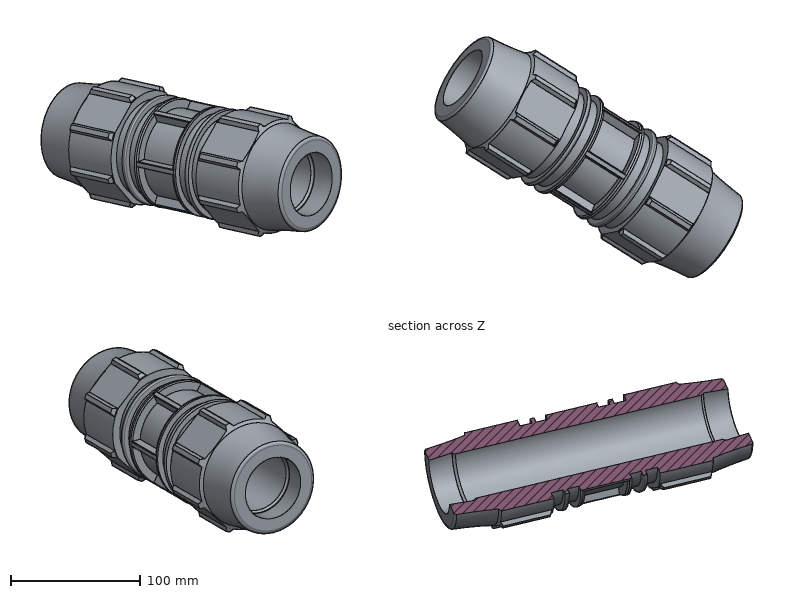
import cadquery as cq
import math

half_length = 122.0
bore_radius = 50.0 / 2
tube_radius = 76.9 / 2

socket_depth = 19.5
socket_root_radius = 26.8
socket_step = 0.5
socket_chamfer_length = 2.2

nose_face_radius = 35.0
lip_round_radius = 3.2
lip_round_angle = math.radians(60)
nose_middle = (105.5, 39.3)
nose_root_radius = 42.2

nut_inner_x = 43.2
nut_outer_x = 87.5
nut_radius = 45.0
nut_end_slope = 0.5
nut_flat_distance = 42.7
nut_flat_turn = 45

rib_count = 8
rib_start_x = 44.2
rib_top_start_x = 46.0
rib_top_radius = 48.0
rib_top_half_width = 2.0
rib_base_half_width = 4.5
rib_base_radius = 41.5
envelope_margin = 2.5

collar_inner_x = 30.0
collar_outer_x = 33.7
collar_crest_x = 31.5
collar_radius = 43.5
collar_round_depth = 1.0
collar_taper_depth = 0.5

hub_half_length = 21.0
hub_radius = 86.4 / 2
pocket_half_length = 17.3
pocket_floor_radius = 35.9
bar_count = 6
bar_root_radius = 34.2
bar_base_half_width = 2.7
bar_shoulder_half_width = 2.2
bar_top_half_width = 1.7
lip_width = 1.7
lip_depth = 0.6


def revolve_about_x(profile):
    return profile.close().revolve(360, (0, 0, 0), (1, 0, 0))


def make_nose():
    """Curved nose with a rounded lip at the open end."""
    def lip_point(angle):
        return (
            half_length - lip_round_radius * (1 - math.cos(angle)),
            nose_face_radius + lip_round_radius * math.sin(angle),
        )

    return revolve_about_x(
        cq.Workplane("XY")
        .moveTo(nut_inner_x, 0)
        .lineTo(nut_inner_x, nose_root_radius)
        .lineTo(nut_outer_x, nose_root_radius)
        .threePointArc(nose_middle, lip_point(lip_round_angle))
        .threePointArc(lip_point(lip_round_angle / 2), lip_point(0))
        .lineTo(half_length, 0)
    )


def make_rib():
    """Trapezoidal rib on the +Z side with a sloping inboard end."""
    section = (
        cq.Workplane("YZ", origin=(rib_start_x, 0, 0))
        .moveTo(-rib_base_half_width, rib_base_radius)
        .lineTo(-rib_base_half_width, nut_flat_distance)
        .lineTo(-rib_top_half_width, rib_top_radius)
        .lineTo(rib_top_half_width, rib_top_radius)
        .lineTo(rib_base_half_width, nut_flat_distance)
        .lineTo(rib_base_half_width, rib_base_radius)
        .close()
        .extrude(nut_outer_x - rib_start_x)
    )
    side_outline = (
        cq.Workplane("XZ")
        .moveTo(rib_start_x, 0)
        .lineTo(rib_start_x, nut_radius)
        .lineTo(rib_top_start_x, rib_top_radius)
        .lineTo(nut_outer_x, rib_top_radius)
        .lineTo(nut_outer_x, 0)
        .close()
        .extrude(rib_base_half_width, both=True)
    )
    return section.intersect(side_outline)


def make_nut_envelope():
    """Round blank around nut and ribs, its outboard end a shallow cone."""
    blank_radius = rib_top_radius + envelope_margin
    cone_length = nut_end_slope * (blank_radius - nose_root_radius)
    return revolve_about_x(
        cq.Workplane("XY")
        .moveTo(nut_inner_x, 0)
        .lineTo(nut_inner_x, blank_radius)
        .lineTo(nut_outer_x - cone_length, blank_radius)
        .lineTo(nut_outer_x, nose_root_radius)
        .lineTo(nut_outer_x, 0)
    )


def make_nut():
    """Round nut with four flats, and a rib along both edges of each flat."""
    nut_length = nut_outer_x - nut_inner_x
    nut_plane = cq.Workplane("YZ", origin=(nut_inner_x, 0, 0))
    cylinder = nut_plane.circle(nut_radius).extrude(nut_length)
    flats = (
        nut_plane.transformed(rotate=(0, 0, nut_flat_turn))
        .rect(2 * nut_flat_distance, 2 * nut_flat_distance)
        .extrude(nut_length)
    )
    nut = cylinder.intersect(flats)
    rib = make_rib()
    pitch = 360 / rib_count
    for index in range(rib_count):
        nut = nut.union(rib.rotate((0, 0, 0), (1, 0, 0), (index + 0.5) * pitch))
    return nut.intersect(make_nut_envelope())


def make_collar():
    """Thin ring with a tapered outboard edge and a rounded inboard edge."""
    diagonal = math.sqrt(0.5)
    round_middle = (
        collar_crest_x - (collar_crest_x - collar_inner_x) * diagonal,
        collar_radius - collar_round_depth * (1 - diagonal),
    )
    return revolve_about_x(
        cq.Workplane("XY")
        .moveTo(collar_inner_x, 0)
        .lineTo(collar_inner_x, collar_radius - collar_round_depth)
        .threePointArc(round_middle, (collar_crest_x, collar_radius))
        .lineTo(collar_outer_x, collar_radius - collar_taper_depth)
        .lineTo(collar_outer_x, 0)
    )


def make_hub_half():
    """Tube half with the pocket floor and one rim."""
    return revolve_about_x(
        cq.Workplane("XY")
        .moveTo(0, 0)
        .lineTo(0, pocket_floor_radius)
        .lineTo(pocket_half_length, pocket_floor_radius)
        .lineTo(pocket_half_length, hub_radius - lip_depth)
        .lineTo(pocket_half_length + lip_width, hub_radius)
        .lineTo(hub_half_length, hub_radius)
        .lineTo(hub_half_length, tube_radius)
        .lineTo(nut_inner_x, tube_radius)
        .lineTo(nut_inner_x, 0)
    )


def make_bar():
    """Tapered bar on the +Y side, bridging the two rims."""
    shoulder_radius = hub_radius - lip_depth
    half_bar = pocket_half_length + lip_width
    return (
        cq.Workplane("YZ", origin=(-half_bar, 0, 0))
        .moveTo(bar_root_radius, -bar_base_half_width)
        .lineTo(pocket_floor_radius, -bar_base_half_width)
        .lineTo(shoulder_radius, -bar_shoulder_half_width)
        .lineTo(hub_radius, -bar_top_half_width)
        .lineTo(hub_radius, bar_top_half_width)
        .lineTo(shoulder_radius, bar_shoulder_half_width)
        .lineTo(pocket_floor_radius, bar_base_half_width)
        .lineTo(bar_root_radius, bar_base_half_width)
        .close()
        .extrude(2 * half_bar)
    )


def make_socket():
    """Space of the socket at the +X end."""
    step_x = half_length - socket_depth
    return revolve_about_x(
        cq.Workplane("XY")
        .moveTo(half_length, 0)
        .lineTo(half_length, bore_radius)
        .lineTo(step_x, socket_root_radius)
        .lineTo(step_x, socket_root_radius - socket_step)
        .lineTo(step_x - socket_chamfer_length, bore_radius)
        .lineTo(step_x - socket_chamfer_length, 0)
    )


half = make_hub_half().union(make_collar()).union(make_nut()).union(make_nose())
body = half.union(half.mirror("YZ"))

bar = make_bar()
for index in range(bar_count):
    body = body.union(bar.rotate((0, 0, 0), (1, 0, 0), index * 360 / bar_count))

socket = make_socket()
bore = cq.Workplane("YZ", origin=(-half_length, 0, 0)).circle(bore_radius).extrude(2 * half_length)
result = body.cut(bore).cut(socket).cut(socket.mirror("YZ"))